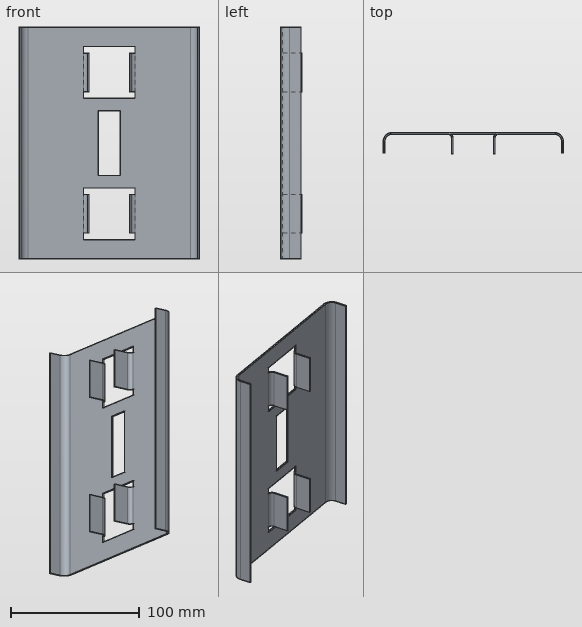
import cadquery as cq

height = 180.0
width = 140.0
flange_depth = 16.0
sheet = 1.5
bend_radius = 7.0

window_size = 40.0
window_offset = 54.9
tab_height = 30.0
tab_depth = 16.5
tab_sheet = 1.3
tab_bend_radius = 4.3

slot_width = 17.0
slot_height = 50.0


def centred_prism(sketch, length, z_centre=0):
    """Extrude an XY outline along Z, centred on the given height."""
    return sketch.extrude(length / 2, both=True).translate((0, 0, z_centre))


def channel_outline(outer_width, depth, radius):
    """U-shaped outline, open toward -Y, with rounded back corners."""
    half = outer_width / 2
    return (
        cq.Workplane("XY")
        .moveTo(-half, -depth)
        .lineTo(-half, -radius)
        .radiusArc((-half + radius, 0), radius)
        .lineTo(half - radius, 0)
        .radiusArc((half, -radius), radius)
        .lineTo(half, -depth)
        .close()
    )


def make_channel():
    outside = centred_prism(channel_outline(width, flange_depth, bend_radius), height)
    inside = centred_prism(
        channel_outline(width - 2 * sheet, flange_depth, bend_radius - sheet), height
    )
    return outside.cut(inside.translate((0, -sheet, 0)))


def make_opening(opening_width, opening_height, z_centre):
    opening = cq.Workplane("XY").box(opening_width, 2 * sheet, opening_height)
    return opening.translate((0, -sheet / 2, z_centre))


def make_left_tab(z_centre):
    """Tab that leaves the left window edge flush with the front of the plate and bends to -Y."""
    root_x = -window_size / 2
    tip_x = root_x + tab_bend_radius
    back_y = tab_sheet - sheet
    bend_y = back_y - tab_bend_radius
    inner_radius = tab_bend_radius - tab_sheet
    outline = (
        cq.Workplane("XY")
        .moveTo(root_x - sheet, back_y)
        .lineTo(root_x, back_y)
        .radiusArc((tip_x, bend_y), tab_bend_radius)
        .lineTo(tip_x, -tab_depth)
        .lineTo(tip_x - tab_sheet, -tab_depth)
        .lineTo(tip_x - tab_sheet, bend_y)
        .radiusArc((root_x, -sheet), -inner_radius)
        .lineTo(root_x - sheet, -sheet)
        .close()
    )
    return centred_prism(outline, tab_height, z_centre)


result = make_channel().cut(make_opening(slot_width, slot_height, 0))
for z_centre in (-window_offset, window_offset):
    left_tab = make_left_tab(z_centre)
    result = result.cut(make_opening(window_size, window_size, z_centre))
    result = result.union(left_tab).union(left_tab.mirror("YZ"))